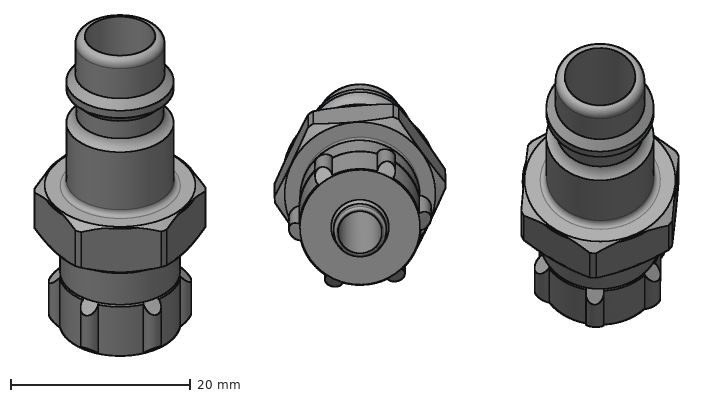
import cadquery as cq
import math

TIP_TOP = 1.25
GRIP_BOTTOM = 1.9
GRIP_TOP = 8.55
SLEEVE_BOTTOM = 8.8
SLEEVE_TOP = 12.98
HEX_BOTTOM = 14.25
HEX_TOP = 20.35
BODY_TOP = 28.75
GROOVE_BOTTOM = 29.82
GROOVE_TOP = 32.15
RIM_BOTTOM = 33.3
RIM_TOP = 34.3
NOSE_BOTTOM = 35.25
TOTAL_LENGTH = 40.3

TIP_RADIUS = 5.9 / 2
TIP_FLARE_RADIUS = 3.22
TIP_ROUND = 0.32
SLEEVE_RADIUS = 13.4 / 2
GRIP_RADIUS = 13.62 / 2
GRIP_CHAMFER = GRIP_RADIUS - SLEEVE_RADIUS
BODY_RADIUS = 12.0 / 2
GROOVE_RADIUS = 9.75 / 2
NOSE_RADIUS = 10.0 / 2
NOSE_ROUND = 1.0
ROOT_FILLET = 0.705
GROOVE_ARC_RADIUS = 2.0

HEX_FLATS = 16.93
HEX_CORNER_RADIUS = 19.15 / 2
HEX_FACE_RADIUS = 8.42
COLLAR_RIM_RADIUS = 17.33 / 2
CHAMFER_SLOPE = math.tan(math.radians(30))

RIDGE_COUNT = 6
RIDGE_RADIUS = 1.0
RIDGE_REACH = 15.95 / 2

BORE_RADIUS = 7.85 / 2
THROUGH_RADIUS = 4.9 / 2
BORE_BOTTOM = 17.33
BORE_CONE_HEIGHT = (BORE_RADIUS - THROUGH_RADIUS) / math.tan(math.radians(59))


def revolve(profile):
    """Turn an (r, z) outline around the Z axis."""
    return profile.close().revolve(360, (0, 0, 0), (0, 1, 0))


def frustum_bar(end_radius, radius, bottom, top, rise):
    """Round bar with a cone of the given rise at both ends."""
    return revolve(
        cq.Workplane("XZ")
        .moveTo(0, bottom)
        .lineTo(end_radius, bottom)
        .lineTo(radius, bottom + rise)
        .lineTo(radius, top - rise)
        .lineTo(end_radius, top)
        .lineTo(0, top)
    )


def make_body():
    """Turned outside shape, without the hexagon and the grip ridges."""
    return revolve(
        cq.Workplane("XZ")
        .moveTo(0, 0)
        .lineTo(TIP_RADIUS - TIP_ROUND, 0)
        .radiusArc((TIP_RADIUS, TIP_ROUND), -TIP_ROUND)
        .lineTo(TIP_RADIUS, TIP_TOP)
        .lineTo(TIP_FLARE_RADIUS, GRIP_BOTTOM)
        .lineTo(SLEEVE_RADIUS, GRIP_BOTTOM)
        .lineTo(GRIP_RADIUS, GRIP_BOTTOM + GRIP_CHAMFER)
        .lineTo(GRIP_RADIUS, GRIP_TOP)
        .lineTo(SLEEVE_RADIUS, SLEEVE_BOTTOM)
        .lineTo(SLEEVE_RADIUS, SLEEVE_TOP)
        .lineTo(BODY_RADIUS, SLEEVE_TOP)
        .lineTo(BODY_RADIUS, HEX_BOTTOM - ROOT_FILLET)
        .radiusArc((BODY_RADIUS + ROOT_FILLET, HEX_BOTTOM), ROOT_FILLET)
        .lineTo(BODY_RADIUS + ROOT_FILLET, HEX_TOP)
        .radiusArc((BODY_RADIUS, HEX_TOP + ROOT_FILLET), ROOT_FILLET)
        .lineTo(BODY_RADIUS, BODY_TOP)
        .radiusArc((GROOVE_RADIUS, GROOVE_BOTTOM), GROOVE_ARC_RADIUS)
        .lineTo(GROOVE_RADIUS, GROOVE_TOP)
        .radiusArc((BODY_RADIUS, RIM_BOTTOM), GROOVE_ARC_RADIUS)
        .lineTo(BODY_RADIUS, RIM_TOP)
        .lineTo(NOSE_RADIUS, NOSE_BOTTOM)
        .lineTo(NOSE_RADIUS, TOTAL_LENGTH - NOSE_ROUND)
        .radiusArc((NOSE_RADIUS - NOSE_ROUND, TOTAL_LENGTH), -NOSE_ROUND)
        .lineTo(0, TOTAL_LENGTH)
    )


def make_hexagon():
    """Hexagon with corners on +Y and -Y, chamfered at both ends, plus its rim."""
    across_corners = HEX_FLATS / math.cos(math.radians(30))
    prism = (
        cq.Workplane("XY", origin=(0, 0, HEX_BOTTOM))
        .polygon(6, across_corners)
        .extrude(HEX_TOP - HEX_BOTTOM)
        .rotate((0, 0, 0), (0, 0, 1), 30)
    )
    chamfer_rise = (HEX_CORNER_RADIUS - HEX_FACE_RADIUS) * CHAMFER_SLOPE
    envelope = frustum_bar(HEX_FACE_RADIUS, HEX_CORNER_RADIUS, HEX_BOTTOM, HEX_TOP, chamfer_rise)
    rim_height = (COLLAR_RIM_RADIUS - HEX_FACE_RADIUS) * CHAMFER_SLOPE
    rim = (
        cq.Workplane("XY", origin=(0, 0, HEX_TOP - rim_height))
        .circle(COLLAR_RIM_RADIUS)
        .extrude(rim_height)
    )
    return prism.union(rim).intersect(envelope)


def make_ridges():
    """Round grip ridges with 45 degree ends, one of them on +Y."""
    ridges = (
        cq.Workplane("XY", origin=(0, 0, GRIP_BOTTOM))
        .polarArray(RIDGE_REACH - RIDGE_RADIUS, 90, 360, RIDGE_COUNT)
        .circle(RIDGE_RADIUS)
        .extrude(SLEEVE_BOTTOM - GRIP_BOTTOM)
    )
    chamfer_rise = RIDGE_REACH - SLEEVE_RADIUS
    envelope = frustum_bar(SLEEVE_RADIUS, RIDGE_REACH, GRIP_BOTTOM, SLEEVE_BOTTOM, chamfer_rise)
    return ridges.intersect(envelope)


def make_bore():
    """Wide bore from the open end, with a conical floor into a through hole."""
    return revolve(
        cq.Workplane("XZ")
        .moveTo(0, 0)
        .lineTo(THROUGH_RADIUS, 0)
        .lineTo(THROUGH_RADIUS, BORE_BOTTOM - BORE_CONE_HEIGHT)
        .lineTo(BORE_RADIUS, BORE_BOTTOM)
        .lineTo(BORE_RADIUS, TOTAL_LENGTH)
        .lineTo(0, TOTAL_LENGTH)
    )


result = make_body().union(make_hexagon()).union(make_ridges()).cut(make_bore())